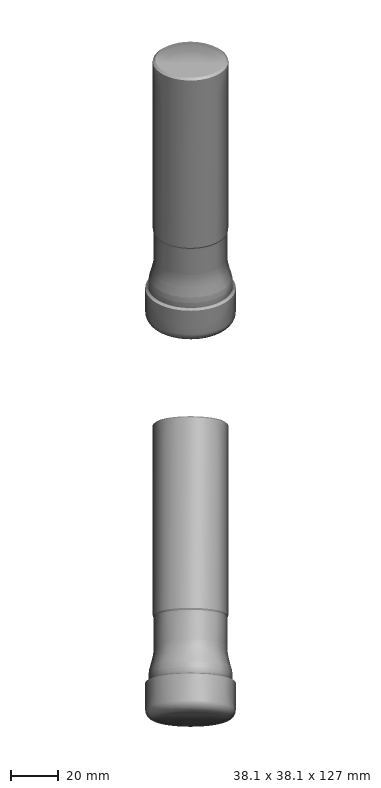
import cadquery as cq
import math

head_diameter = 38.1
head_corner_radius = 4.0
head_rim_height = 15.65
shoulder_slope = math.radians(25)
shoulder_joint_diameter = 37.0

overall_height = 127.0
shaft_diameter = 31.75
shaft_start_height = 44.5
shaft_top_chamfer_width = 1.05
shaft_top_chamfer_height = 0.8
shaft_step_height = 0.75
collar_diameter = 35.5
collar_top_height = 18.6
flare_angle = math.radians(15)
collar_arc_radius = 10.0
neck_arc_radius = 20.0
flare_cone_height = 4.65

head_radius = head_diameter / 2
shaft_radius = shaft_diameter / 2
collar_radius = collar_diameter / 2
joint_radius = shoulder_joint_diameter / 2

shoulder_gradient = math.tan(shoulder_slope)
joint_height = head_rim_height + (head_radius - joint_radius) * shoulder_gradient
collar_bottom_height = joint_height + (joint_radius - collar_radius) * shoulder_gradient


def make_head():
    """Disc with a rounded bottom edge and the outer part of the conical shoulder on top."""
    disc = (
        cq.Workplane("XY")
        .circle(head_radius)
        .extrude(head_rim_height)
        .faces("<Z")
        .edges()
        .fillet(head_corner_radius)
    )
    shoulder_profile = [
        (0, head_rim_height),
        (head_radius, head_rim_height),
        (joint_radius, joint_height),
        (0, joint_height),
    ]
    shoulder = cq.Workplane("XZ").polyline(shoulder_profile).close().revolve(360, (0, 0, 0), (0, 1, 0))
    return disc.union(shoulder)


def arc_offset(radius, angle):
    """Radial shift and height along an arc that starts parallel to the axis."""
    return radius * (1 - math.cos(angle)), radius * math.sin(angle)


def make_shank():
    """Shoulder foot, collar, tangent flare, neck and shaft, revolved from one half outline."""
    collar_arc_inset, collar_arc_height = arc_offset(collar_arc_radius, flare_angle)
    collar_mid_inset, collar_mid_height = arc_offset(collar_arc_radius, flare_angle / 2)
    cone_bottom = (collar_radius - collar_arc_inset, collar_top_height + collar_arc_height)
    collar_arc_middle = (collar_radius - collar_mid_inset, collar_top_height + collar_mid_height)

    cone_top = (
        cone_bottom[0] - flare_cone_height * math.tan(flare_angle),
        cone_bottom[1] + flare_cone_height,
    )
    neck_arc_inset, neck_arc_height = arc_offset(neck_arc_radius, flare_angle)
    neck_mid_inset, neck_mid_height = arc_offset(neck_arc_radius, flare_angle / 2)
    neck_radius = cone_top[0] - neck_arc_inset
    neck_bottom_height = cone_top[1] + neck_arc_height
    neck_arc_middle = (neck_radius + neck_mid_inset, neck_bottom_height - neck_mid_height)

    return (
        cq.Workplane("XZ")
        .moveTo(0, joint_height)
        .lineTo(joint_radius, joint_height)
        .lineTo(collar_radius, collar_bottom_height)
        .lineTo(collar_radius, collar_top_height)
        .threePointArc(collar_arc_middle, cone_bottom)
        .lineTo(*cone_top)
        .threePointArc(neck_arc_middle, (neck_radius, neck_bottom_height))
        .lineTo(neck_radius, shaft_start_height - shaft_step_height)
        .lineTo(shaft_radius, shaft_start_height)
        .lineTo(shaft_radius, overall_height - shaft_top_chamfer_height)
        .lineTo(shaft_radius - shaft_top_chamfer_width, overall_height)
        .lineTo(0, overall_height)
        .close()
        .revolve(360, (0, 0, 0), (0, 1, 0))
    )


head = make_head()
shank = make_shank()

result = cq.Compound.makeCompound([head.val(), shank.val()])